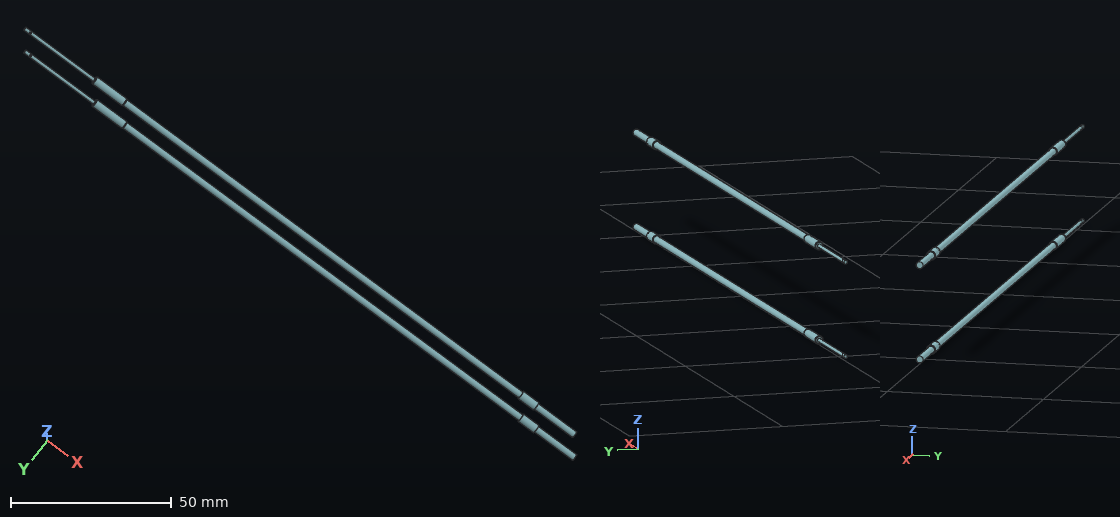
import cadquery as cq

probe_length = 215.0
overall_height = 33.0

needle_radius = 0.6
sleeve_radius = 1.35
shaft_radius = 1.15
collar_radius = 1.46
stem_radius = 1.12

sleeve_start = 27.0
sleeve_end = 39.1
collar_start = 194.0
collar_end = 200.0

eye_position = 2.2
eye_diameter = 0.6
chamfer_length = 0.32
chamfer_depth = 0.24

axis_offset = overall_height / 2 - collar_radius


def rod(start, end, radius):
    """Round rod on the X axis between two stations."""
    return cq.Workplane("YZ", origin=(start, 0, 0)).circle(radius).extrude(end - start)


def make_sleeve():
    """Thick part of the tip, with a chamfer on both rims."""
    rim_radius = sleeve_radius - chamfer_depth
    profile = [
        (sleeve_start, 0),
        (sleeve_start, rim_radius),
        (sleeve_start + chamfer_length, sleeve_radius),
        (sleeve_end - chamfer_length, sleeve_radius),
        (sleeve_end, rim_radius),
        (sleeve_end, 0),
    ]
    return cq.Workplane("XZ").polyline(profile).close().revolve(360, (0, 0, 0), (1, 0, 0))


def make_eye():
    """Cutter for the vertical cross hole, tall enough to pass right through the needle."""
    return (
        cq.Workplane("XY", origin=(eye_position, 0, 0))
        .circle(eye_diameter / 2)
        .extrude(sleeve_radius, both=True)
    )


def make_tip():
    """Thin needle with an eye near its end, carried by the sleeve."""
    needle = rod(0, sleeve_start, needle_radius).cut(make_eye())
    return needle.union(make_sleeve())


def make_shaft():
    """Long plain rod between the sleeve and the collar."""
    return rod(sleeve_end, collar_start, shaft_radius)


def make_end_fitting():
    """Collar followed by the stem at the far end."""
    collar = rod(collar_start, collar_end, collar_radius)
    stem = rod(collar_end, probe_length, stem_radius)
    return collar.union(stem)


bodies = []
for turn in (0, 180):
    for body in (make_tip(), make_shaft(), make_end_fitting()):
        placed = body.translate((-probe_length / 2, 0, axis_offset))
        bodies.append(placed.rotate((0, 0, 0), (1, 0, 0), turn).val())

result = cq.Compound.makeCompound(bodies)